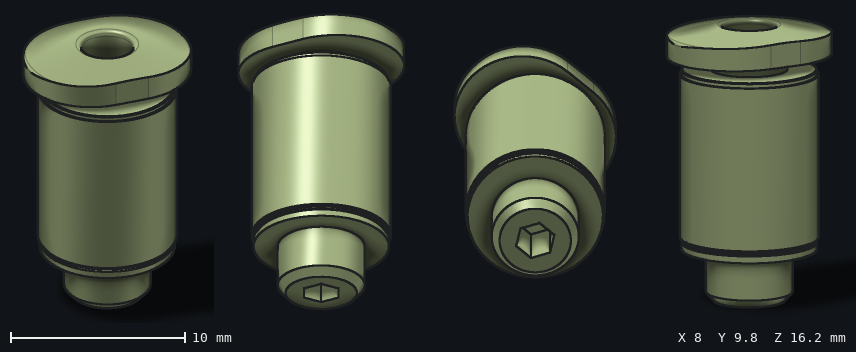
import cadquery as cq
import math

total_height = 16.2
body_diameter = 8.0

stem_diameter = 5.0
stem_length = 3.0
stem_chamfer_height = 0.5
stem_chamfer_width = 0.45

flange_diameter = 7.8
flange_thickness = 0.4
groove_depth = 0.1
body_bottom_z = 3.71
body_top_z = 13.28
rim_top_z = 13.58
rim_chamfer = 0.05

neck_diameter = 4.4
neck_flare_radius = 0.34

head_width = flange_diameter
head_length = 9.8
head_height = 1.8
crown_angle = 10.0
head_edge_radius = 0.2

bore_diameter = 3.0
bore_mouth_radius = 0.3
bore_floor_z = stem_length
hex_across_flats = 2.0


def make_shank():
    """Stem, flange, body and neck as one revolved profile, up to the head's underside."""
    stem_r = stem_diameter / 2
    flange_r = flange_diameter / 2
    body_r = body_diameter / 2
    neck_r = neck_diameter / 2
    groove_r = flange_r - groove_depth
    groove_bottom_z = stem_length + flange_thickness
    head_bottom_z = total_height - head_height
    flare_mid = neck_flare_radius * (1 - math.sqrt(0.5))
    return (
        cq.Workplane("XZ")
        .moveTo(0, 0)
        .lineTo(stem_r - stem_chamfer_width, 0)
        .lineTo(stem_r, stem_chamfer_height)
        .lineTo(stem_r, stem_length)
        .lineTo(flange_r, stem_length)
        .lineTo(flange_r, groove_bottom_z)
        .lineTo(groove_r, groove_bottom_z + groove_depth)
        .lineTo(flange_r, groove_bottom_z + 2 * groove_depth)
        .lineTo(flange_r, body_bottom_z)
        .lineTo(body_r, body_bottom_z)
        .lineTo(body_r, body_top_z)
        .lineTo(flange_r, body_top_z)
        .lineTo(flange_r, rim_top_z - rim_chamfer)
        .lineTo(flange_r - rim_chamfer, rim_top_z)
        .lineTo(neck_r, rim_top_z)
        .lineTo(neck_r, head_bottom_z - neck_flare_radius)
        .threePointArc(
            (neck_r + flare_mid, head_bottom_z - flare_mid),
            (neck_r + neck_flare_radius, head_bottom_z),
        )
        .lineTo(0, head_bottom_z)
        .close()
        .revolve(360, (0, 0, 0), (0, 1, 0))
    )


def make_head():
    """Obround plate trimmed by a revolved crown with a rounded outer edge."""
    bottom_z = total_height - head_height
    outer_r = head_length / 2
    crown_inner_r = bore_diameter / 2 + bore_mouth_radius
    slope = math.radians(crown_angle)
    arc_r = outer_r - head_edge_radius
    cone_z = total_height - (arc_r - crown_inner_r) * math.tan(slope)
    arc_z = cone_z - head_edge_radius / math.cos(slope)

    def edge_point(angle):
        return (
            arc_r + head_edge_radius * math.cos(angle),
            arc_z + head_edge_radius * math.sin(angle),
        )

    cone_tangent_angle = math.pi / 2 - slope
    plate = (
        cq.Workplane("XY")
        .workplane(offset=bottom_z)
        .slot2D(head_length, head_width, 90)
        .extrude(head_height)
    )
    crown = (
        cq.Workplane("XZ")
        .moveTo(0, bottom_z)
        .lineTo(outer_r, bottom_z)
        .lineTo(*edge_point(0))
        .threePointArc(edge_point(cone_tangent_angle / 2), edge_point(cone_tangent_angle))
        .lineTo(crown_inner_r, total_height)
        .lineTo(0, total_height)
        .close()
        .revolve(360, (0, 0, 0), (0, 1, 0))
    )
    return plate.intersect(crown)


def make_bore():
    """Round bore from the top, widening along a quarter arc at its mouth."""
    bore_r = bore_diameter / 2
    mouth_mid = bore_mouth_radius * (1 - math.sqrt(0.5))
    return (
        cq.Workplane("XZ")
        .moveTo(0, bore_floor_z)
        .lineTo(bore_r, bore_floor_z)
        .lineTo(bore_r, total_height - bore_mouth_radius)
        .threePointArc(
            (bore_r + mouth_mid, total_height - mouth_mid),
            (bore_r + bore_mouth_radius, total_height),
        )
        .lineTo(0, total_height)
        .close()
        .revolve(360, (0, 0, 0), (0, 1, 0))
    )


def make_hex_hole():
    """Hexagonal hole through the stem, with two flats facing +X and -X."""
    across_corners = hex_across_flats / math.cos(math.radians(30))
    return (
        cq.Workplane("XY")
        .transformed(rotate=(0, 0, 90))
        .polygon(6, across_corners)
        .extrude(bore_floor_z)
    )


result = make_shank().union(make_head()).cut(make_bore()).cut(make_hex_hole())